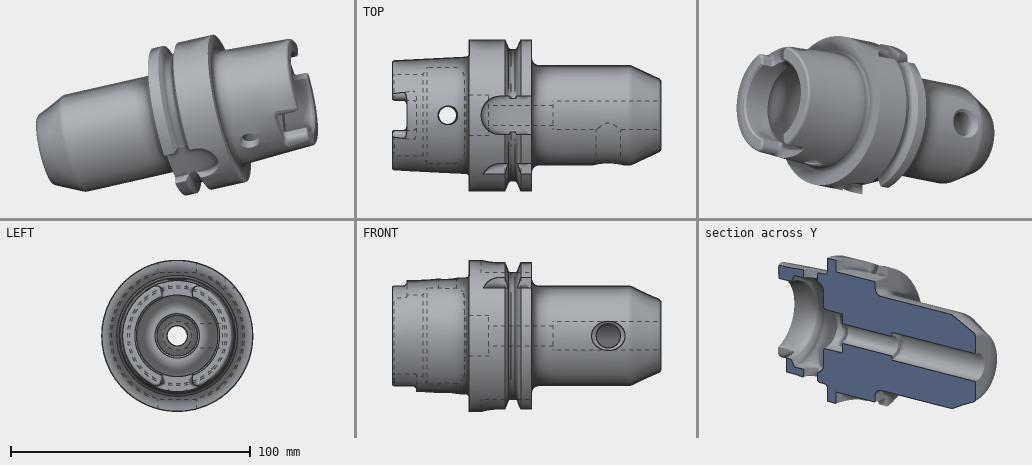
import cadquery as cq
import math


SHANK_LENGTH = 32.0
GAUGE_DIAMETER = 48.02
GAUGE_X = -6.3
TAPER = 1 / 10
TAPER_END = 2.1
TIP_ROUNDING = 1.0
FACE_FILLET = 1.2
FACE_CHAMFER = 0.35
FACE_CHAMFER_ANGLE = 55.0

FLANGE_DIAMETER = 63.0
FLANGE_WIDTH = 26.0
GROOVE_CENTRE = 18.2
GROOVE_MOUTH = 6.6
GROOVE_FLOOR_DIAMETER = 54.8
GROOVE_FLANK_ANGLE = 67.0
GROOVE_FILLET = 1.1

NOSE_END = 80.0
BODY_DIAMETER = 41.5
BODY_FILLET = 3.0
NOSE_CONE_LENGTH = 12.8
NOSE_CONE_ANGLE = 25.0
NOSE_SHOULDER_FILLET = 2.5
NOSE_TIP_FILLET = 2.0

SHANK_BORE_DIAMETER = 34.0
SHANK_BORE_CHAMFER = 0.7
SHANK_BORE_STEP = 12.7
UNDERCUT_DIAMETER = 40.0
UNDERCUT_ANGLE = 60.0
CAVITY_FLOOR_FILLET = 4.25
CAVITY_FLOOR_X = -2.0
PIPE_BORE_DIAMETER = 17.0
PIPE_BORE_CHAMFER = 0.75
PIPE_BORE_DEPTH = 10.0
COOLANT_DIAMETER = 8.4
TOOL_BORE_DIAMETER = 12.0
TOOL_BORE_DEPTH = 45.0

SCREW_X = 58.0
SCREW_DIAMETER = 10.11
SCREW_MOUTH_DIAMETER = 14.0

ACCESS_X = -9.0
ACCESS_DIAMETER = 7.5
ACCESS_MOUTH_DIAMETER = 8.4

DRIVE_HALF_WIDTH = 6.27
DRIVE_DEPTH_TOP = 6.0
DRIVE_DEPTH_BOTTOM = 10.0
DRIVE_MOUTH_RADIUS = 2.5
DRIVE_FLARE_Z = 18.35
DRIVE_FLOOR_FILLET = 1.5

SLOT_WIDTH = 16.0
SLOT_FLOOR = 26.5
SLOT_START = 5.0
NOTCH_FLOOR = 20.0
NOTCH_RADIUS = 8.0
NOTCH_CENTRE_X = 13.1

OVERSHOOT = 1.0
PICK_TOLERANCE = 0.01

flange_radius = FLANGE_DIAMETER / 2
body_radius = BODY_DIAMETER / 2


def taper_radius(x):
    return GAUGE_DIAMETER / 2 + (x - GAUGE_X) * TAPER / 2


def revolve(profile):
    """Turn a closed (X, radius) profile about the X axis."""
    return profile.close().revolve(360, (0, 0, 0), (1, 0, 0))


def half_turn(shape):
    return shape.rotate((0, 0, 0), (1, 0, 0), 180)


def x_cylinder(diameter, start, end):
    return cq.Workplane("YZ", origin=(start, 0, 0)).circle(diameter / 2).extrude(end - start)


def make_shank():
    big_radius = taper_radius(-TAPER_END)
    tip_radius = taper_radius(-SHANK_LENGTH)
    chamfer_angle = math.radians(FACE_CHAMFER_ANGLE)
    fillet_length = FACE_FILLET * math.sin(chamfer_angle)
    fillet_top = big_radius + FACE_FILLET * (1 - math.cos(chamfer_angle))
    slope = math.atan(TAPER / 2)
    rounding_start = tip_radius - TIP_ROUNDING * math.tan(math.pi / 4 - slope / 2)
    rounding_x = -SHANK_LENGTH + TIP_ROUNDING * (1 - math.sin(slope))
    rounding_end = rounding_start + TIP_ROUNDING * math.cos(slope)
    return revolve(
        cq.Workplane("XY")
        .moveTo(-SHANK_LENGTH, rounding_start)
        .radiusArc((rounding_x, rounding_end), TIP_ROUNDING)
        .lineTo(-TAPER_END, big_radius)
        .lineTo(-FACE_CHAMFER - fillet_length, big_radius)
        .radiusArc((-FACE_CHAMFER, fillet_top), -FACE_FILLET)
        .lineTo(0, fillet_top + FACE_CHAMFER * math.tan(chamfer_angle))
        .lineTo(0, 0)
        .lineTo(-SHANK_LENGTH, 0)
    )


def make_flange():
    floor_radius = GROOVE_FLOOR_DIAMETER / 2
    flank_angle = math.radians(GROOVE_FLANK_ANGLE)
    fillet_length = GROOVE_FILLET * math.sin(flank_angle)
    fillet_top = floor_radius + GROOVE_FILLET * (1 - math.cos(flank_angle))
    flank_length = (flange_radius - fillet_top) / math.tan(flank_angle)
    left = GROOVE_CENTRE - GROOVE_MOUTH / 2
    right = GROOVE_CENTRE + GROOVE_MOUTH / 2
    return revolve(
        cq.Workplane("XY")
        .lineTo(0, flange_radius)
        .lineTo(left, flange_radius)
        .lineTo(left + flank_length, fillet_top)
        .radiusArc((left + flank_length + fillet_length, floor_radius), -GROOVE_FILLET)
        .lineTo(right - flank_length - fillet_length, floor_radius)
        .radiusArc((right - flank_length, fillet_top), -GROOVE_FILLET)
        .lineTo(right, flange_radius)
        .lineTo(FLANGE_WIDTH, flange_radius)
        .lineTo(FLANGE_WIDTH, 0)
    )


def make_body():
    cone_start = NOSE_END - NOSE_CONE_LENGTH
    tip_radius = body_radius - NOSE_CONE_LENGTH * math.tan(math.radians(NOSE_CONE_ANGLE))
    nose = revolve(
        cq.Workplane("XY")
        .moveTo(FLANGE_WIDTH, 0)
        .lineTo(FLANGE_WIDTH, body_radius)
        .lineTo(cone_start, body_radius)
        .lineTo(NOSE_END, tip_radius)
        .lineTo(NOSE_END, 0)
    )
    nose = nose.faces(">X").edges().fillet(NOSE_TIP_FILLET)
    nose = nose.edges(cq.selectors.NearestToPointSelector((cone_start, 0, 0))).fillet(NOSE_SHOULDER_FILLET)
    collar = revolve(
        cq.Workplane("XY")
        .moveTo(FLANGE_WIDTH, 0)
        .lineTo(FLANGE_WIDTH, body_radius + BODY_FILLET)
        .radiusArc((FLANGE_WIDTH + BODY_FILLET, body_radius), -BODY_FILLET)
        .lineTo(FLANGE_WIDTH + BODY_FILLET, 0)
    )
    return nose.union(collar)


def make_cavity():
    """Shank bore widening to the clamping undercut, with a rounded floor corner."""
    bore_radius = SHANK_BORE_DIAMETER / 2
    undercut_radius = UNDERCUT_DIAMETER / 2
    tip = -SHANK_LENGTH
    step = tip + SHANK_BORE_STEP
    widened = step + (undercut_radius - bore_radius) / math.tan(math.radians(UNDERCUT_ANGLE))
    return revolve(
        cq.Workplane("XY")
        .moveTo(tip, 0)
        .lineTo(tip, bore_radius + SHANK_BORE_CHAMFER)
        .lineTo(tip + SHANK_BORE_CHAMFER, bore_radius)
        .lineTo(step, bore_radius)
        .lineTo(widened, undercut_radius)
        .lineTo(CAVITY_FLOOR_X - CAVITY_FLOOR_FILLET, undercut_radius)
        .radiusArc((CAVITY_FLOOR_X, undercut_radius - CAVITY_FLOOR_FILLET), CAVITY_FLOOR_FILLET)
        .lineTo(CAVITY_FLOOR_X, 0)
    )


def make_axial_bores():
    pipe_radius = PIPE_BORE_DIAMETER / 2
    pipe_end = CAVITY_FLOOR_X + PIPE_BORE_DEPTH
    pipe_bore = revolve(
        cq.Workplane("XY")
        .moveTo(CAVITY_FLOOR_X, 0)
        .lineTo(CAVITY_FLOOR_X, pipe_radius + PIPE_BORE_CHAMFER)
        .lineTo(CAVITY_FLOOR_X + PIPE_BORE_CHAMFER, pipe_radius)
        .lineTo(pipe_end, pipe_radius)
        .lineTo(pipe_end, 0)
    )
    coolant = x_cylinder(COOLANT_DIAMETER, CAVITY_FLOOR_X, NOSE_END)
    tool_bore = x_cylinder(TOOL_BORE_DIAMETER, NOSE_END - TOOL_BORE_DEPTH, NOSE_END)
    return pipe_bore.union(coolant).union(tool_bore)


def make_screw_hole():
    """Countersunk radial hole from the -Y side into the tool bore."""
    radius = SCREW_DIAMETER / 2
    mouth_radius = SCREW_MOUTH_DIAMETER / 2
    sink = mouth_radius - radius
    return (
        cq.Workplane("XY")
        .moveTo(SCREW_X, 0)
        .lineTo(SCREW_X + radius, 0)
        .lineTo(SCREW_X + radius, -body_radius + sink)
        .lineTo(SCREW_X + mouth_radius, -body_radius)
        .lineTo(SCREW_X, -body_radius)
        .close()
        .revolve(360, (SCREW_X, 0, 0), (SCREW_X, 1, 0))
    )


def make_access_hole():
    """Through hole along Z with a countersink where it meets the taper on each side."""
    surface = taper_radius(ACCESS_X)
    radius = ACCESS_DIAMETER / 2
    mouth_radius = ACCESS_MOUTH_DIAMETER / 2
    sink_floor = surface - (mouth_radius - radius)
    beyond = surface + OVERSHOOT
    upper_half = (
        cq.Workplane("XZ", origin=(ACCESS_X, 0, 0))
        .lineTo(radius, 0)
        .lineTo(radius, sink_floor)
        .lineTo(mouth_radius, surface)
        .lineTo(mouth_radius, beyond)
        .lineTo(0, beyond)
        .close()
        .revolve(360, (0, 0, 0), (0, 1, 0))
    )
    return upper_half.union(half_turn(upper_half))


def make_drive_slot(depth):
    """Slot cutter on the +Z side: rounded floor edges, walls flaring outward and at the tip."""
    outside = GAUGE_DIAMETER / 2 + OVERSHOOT
    flare_y = DRIVE_HALF_WIDTH + DRIVE_MOUTH_RADIUS
    flare_top = DRIVE_FLARE_Z + DRIVE_MOUTH_RADIUS
    cutter = (
        cq.Workplane("YZ", origin=(-SHANK_LENGTH, 0, 0))
        .lineTo(DRIVE_HALF_WIDTH, 0)
        .lineTo(DRIVE_HALF_WIDTH, DRIVE_FLARE_Z)
        .radiusArc((flare_y, flare_top), DRIVE_MOUTH_RADIUS)
        .lineTo(outside, flare_top)
        .lineTo(outside, outside)
        .lineTo(0, outside)
        .close()
        .extrude(depth)
    )
    cutter = cutter.union(cutter.mirror("XZ")).clean()
    cutter = cutter.faces(">X").edges("not (<Z or >Z)").fillet(DRIVE_FLOOR_FILLET)
    space_ahead = (
        cq.Workplane("YZ", origin=(-SHANK_LENGTH - 2 * TIP_ROUNDING, 0, 0))
        .center(0, outside / 2)
        .rect(FLANGE_DIAMETER, outside)
        .extrude(2 * TIP_ROUNDING)
    )
    cutter = cutter.union(space_ahead)
    slack = PICK_TOLERANCE
    mouth = cq.selectors.BoxSelector(
        (-SHANK_LENGTH - slack, -outside, slack),
        (-SHANK_LENGTH + slack, outside, outside - slack),
    )
    return cutter.edges(mouth).edges("not (<Y or >Y)").fillet(TIP_ROUNDING)


def make_pocket(floor, end_centre_x, end_radius, y_inner, y_outer):
    """Cutter above Z = floor, rounded towards the shank and open past the flange's far face."""
    height = flange_radius
    length = FLANGE_WIDTH - end_centre_x
    base = cq.Workplane("XY", origin=(end_centre_x, 0, floor))
    round_end = base.center(0, y_inner - end_radius).circle(end_radius).extrude(height)
    straight = base.center(length / 2, (y_inner + y_outer) / 2)
    straight = straight.rect(length, y_inner - y_outer).extrude(height)
    return round_end.union(straight)


def make_flange_slot():
    half_width = SLOT_WIDTH / 2
    return make_pocket(SLOT_FLOOR, SLOT_START + half_width, half_width, half_width, -half_width)


def make_notch():
    """Square-cornered notch on the -Y, +Z side of the flange."""
    return make_pocket(NOTCH_FLOOR, NOTCH_CENTRE_X, NOTCH_RADIUS, -NOTCH_FLOOR, -flange_radius)


shank = make_shank()
shank = shank.cut(make_drive_slot(DRIVE_DEPTH_TOP))
shank = shank.cut(half_turn(make_drive_slot(DRIVE_DEPTH_BOTTOM)))

flange_slot = make_flange_slot()
flange = make_flange().cut(flange_slot).cut(half_turn(flange_slot)).cut(make_notch())

result = shank.union(flange).union(make_body())
result = result.cut(make_cavity()).cut(make_axial_bores())
result = result.cut(make_screw_hole()).cut(make_access_hole())